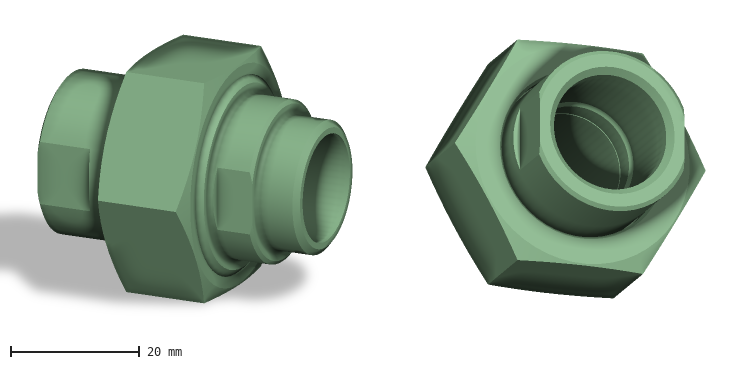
import cadquery as cq
import math


total_length = 44.0
barrel_radius = 26.0 / 2
barrel_chamfer_length = 0.45
barrel_chamfer_height = 0.6
flats_width = 23.95
flat_shoulder_angle = 15.0
flat_cutter_depth = 1.1
joint_x = 20.25

nut_start = 13.45
nut_end = 28.95
nut_across_flats = 36.0
nut_across_corners = nut_across_flats / math.cos(math.radians(30))
nut_face_radius = 35.45 / 2
nut_chamfer_length = 1.05
nut_lip_length = 3.5
nut_lip_radius = 26.5 / 2
nut_lip_chamfer = 0.45
thread_radius = 31.85 / 2

tail_flat_end = 9.0
tail_collar_radius = 30.35 / 2
tail_collar_start = nut_start + nut_lip_length
tail_socket_radius = 18.6 / 2
tail_socket_depth = 15.85
tail_socket_chamfer = 1.0
tail_bore_radius = 17.5 / 2
socket_taper = tail_socket_radius - tail_bore_radius

collar_end = 29.88
collar_end_radius = 29.5 / 2
collar_chamfer = thread_radius - collar_end_radius
collar_fillet = 0.75
weld_barrel_end = 36.9
weld_flat_start = 30.95
weld_neck_radius = 21.3 / 2
neck_fillet = 0.8
bevel_height = 1.05
bevel_length = bevel_height * math.tan(math.radians(37.5))
weld_bore_radius = 17.3 / 2


def revolve_about_x(profile):
    """Turn a closed XY profile (X along the axis, Y as radius) about the X axis."""
    return profile.close().revolve(360, (0, 0, 0), (1, 0, 0))


def cut_wrench_flats(body, shoulder_x, open_end_x):
    """Cut parallel flats on the -Y and +Y sides, from a sloped shoulder to the open end of the barrel."""
    flat_y = flats_width / 2
    outer_y = flat_y + flat_cutter_depth
    slope_direction = math.copysign(1, shoulder_x - open_end_x)
    shoulder_run = slope_direction * flat_cutter_depth * math.tan(math.radians(flat_shoulder_angle))
    cutter = (
        cq.Workplane("XY")
        .moveTo(open_end_x, flat_y)
        .lineTo(shoulder_x, flat_y)
        .lineTo(shoulder_x + shoulder_run, outer_y)
        .lineTo(open_end_x, outer_y)
        .close()
        .extrude(barrel_radius, both=True)
    )
    return body.cut(cutter).cut(cutter.mirror("XZ"))


def make_nut():
    """Hexagon nut with corners on Y, chamfered faces, a lip at one end and a wide bore behind it."""
    corner_radius = nut_across_corners / 2
    hexagon = (
        cq.Workplane("YZ", origin=(nut_start, 0, 0))
        .polygon(6, nut_across_corners)
        .extrude(nut_end - nut_start)
    )
    turned_blank = revolve_about_x(
        cq.Workplane("XY")
        .moveTo(nut_start, nut_lip_radius + nut_lip_chamfer)
        .lineTo(nut_start, nut_face_radius)
        .lineTo(nut_start + nut_chamfer_length, corner_radius)
        .lineTo(nut_end - nut_chamfer_length, corner_radius)
        .lineTo(nut_end, nut_face_radius)
        .lineTo(nut_end, thread_radius)
        .lineTo(nut_start + nut_lip_length, thread_radius)
        .lineTo(nut_start + nut_lip_length, nut_lip_radius)
        .lineTo(nut_start + nut_lip_chamfer, nut_lip_radius)
    )
    return hexagon.intersect(turned_blank)


def make_tail_piece():
    """Barrel with a stepped bore, two wrench flats and a collar held behind the nut lip."""
    body = revolve_about_x(
        cq.Workplane("XY")
        .moveTo(0, tail_socket_radius + tail_socket_chamfer)
        .lineTo(0, barrel_radius - barrel_chamfer_height)
        .lineTo(barrel_chamfer_length, barrel_radius)
        .lineTo(tail_collar_start, barrel_radius)
        .lineTo(tail_collar_start, tail_collar_radius)
        .lineTo(joint_x, tail_collar_radius)
        .lineTo(joint_x, tail_bore_radius)
        .lineTo(tail_socket_depth + socket_taper, tail_bore_radius)
        .lineTo(tail_socket_depth, tail_socket_radius)
        .lineTo(tail_socket_chamfer, tail_socket_radius)
    )
    return cut_wrench_flats(body, tail_flat_end, 0)


def make_weld_end():
    """Collar inside the nut, a barrel with wrench flats, and a bevelled welding neck."""
    arc_reach = math.sqrt(0.5)
    collar_arc_middle = (
        collar_end + collar_fillet * (1 - arc_reach),
        barrel_radius + collar_fillet * (1 - arc_reach),
    )
    neck_arc_middle = (
        weld_barrel_end + neck_fillet * (1 - arc_reach),
        weld_neck_radius + neck_fillet * (1 - arc_reach),
    )
    body = revolve_about_x(
        cq.Workplane("XY")
        .moveTo(joint_x, weld_bore_radius)
        .lineTo(joint_x, thread_radius)
        .lineTo(collar_end - collar_chamfer, thread_radius)
        .lineTo(collar_end, collar_end_radius)
        .lineTo(collar_end, barrel_radius + collar_fillet)
        .threePointArc(collar_arc_middle, (collar_end + collar_fillet, barrel_radius))
        .lineTo(weld_barrel_end - barrel_chamfer_length, barrel_radius)
        .lineTo(weld_barrel_end, barrel_radius - barrel_chamfer_height)
        .lineTo(weld_barrel_end, weld_neck_radius + neck_fillet)
        .threePointArc(neck_arc_middle, (weld_barrel_end + neck_fillet, weld_neck_radius))
        .lineTo(total_length - bevel_length, weld_neck_radius)
        .lineTo(total_length, weld_neck_radius - bevel_height)
        .lineTo(total_length, weld_bore_radius)
    )
    return cut_wrench_flats(body, weld_flat_start, weld_barrel_end)


nut = make_nut()
tail_piece = make_tail_piece()
weld_end = make_weld_end()

result = cq.Compound.makeCompound([nut.solids().val(), tail_piece.solids().val(), weld_end.solids().val()])